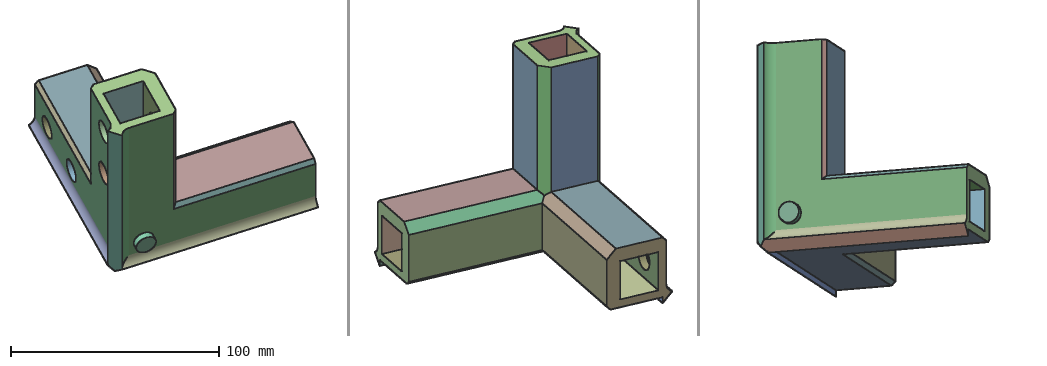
import cadquery as cq

arm_length_x = 102.7
arm_length_y = 107.6
arm_length_z = 102.7

outer_face = 3.2
inner_face = 35.5
inner_chamfer = 5.0
side_chamfer = 2.0

lip_chamfer = 5.3
lip_fillet_end = 10.2

bore_size = 20.7
bore_center = 17.9
bore_depth = 67.2
screw_end_distance = 15.1
screw_spacing = 29.9
access_diameter = 11.5
pilot_diameter = 4.1
pilot_depth = 3.8

boss_diameter = 10.3

plane_x = cq.Plane(origin=(0, 0, 0), xDir=(0, 1, 0), normal=(1, 0, 0))
plane_y = cq.Plane(origin=(0, 0, 0), xDir=(-1, 0, 0), normal=(0, 1, 0))
plane_z = cq.Plane(origin=(0, 0, 0), xDir=(-1, 0, 0), normal=(0, 0, -1))

arms = [
    (plane_x, -1, arm_length_x),
    (plane_y, 1, arm_length_y),
    (plane_z, -1, arm_length_z),
]


def arm_body(plane, direction, length):
    """Chamfered square prism, starting at the outer face of the corner."""
    low, high = outer_face, inner_face
    points = [
        (low, low),
        (high - side_chamfer, low),
        (high, low + side_chamfer),
        (high, high - inner_chamfer),
        (high - inner_chamfer, high),
        (low + side_chamfer, high),
        (low, high - side_chamfer),
    ]
    return (
        cq.Workplane(plane)
        .workplane(offset=direction * outer_face)
        .polyline(points)
        .close()
        .extrude(direction * (length - outer_face))
    )


def edge_lip(plane, direction, length):
    """Chamfered lip along an outer edge, with concave fillets onto both arm faces."""
    fillet_run = lip_fillet_end - lip_chamfer
    fillet_radius = (fillet_run**2 + outer_face**2) / (2 * outer_face)
    return (
        cq.Workplane(plane)
        .workplane(offset=direction * outer_face)
        .moveTo(lip_fillet_end, outer_face)
        .radiusArc((lip_chamfer, 0), -fillet_radius)
        .lineTo(0, lip_chamfer)
        .radiusArc((outer_face, lip_fillet_end), -fillet_radius)
        .close()
        .extrude(direction * (length - outer_face))
    )


def corner_wedge(plane, direction, length):
    """Waste outside the chamfer of an outer edge."""
    return (
        cq.Workplane(plane)
        .polyline([(0, 0), (lip_chamfer, 0), (0, lip_chamfer)])
        .close()
        .extrude(direction * length)
    )


def arm_bore(plane, direction, length):
    """Blind square bore from the open end of an arm."""
    return (
        cq.Workplane(plane)
        .workplane(offset=direction * length)
        .center(bore_center, bore_center)
        .rect(bore_size, bore_size)
        .extrude(-direction * bore_depth)
    )


def holes_along_y(points, diameter, start, end):
    """Round holes parallel to Y between two Y positions, at (inward X, Z) points."""
    return (
        cq.Workplane(plane_y)
        .workplane(offset=start)
        .pushPoints(points)
        .circle(diameter / 2)
        .extrude(end - start)
    )


result = arm_body(*arms[0])
for arm in arms[1:]:
    result = result.union(arm_body(*arm))
for arm in arms:
    result = result.union(edge_lip(*arm))

corner_cube = (
    cq.Workplane("XY")
    .box(outer_face, outer_face, outer_face, centered=False)
    .translate((-outer_face, 0, 0))
)
result = result.union(corner_cube)

boss = (
    cq.Workplane(plane_x)
    .center(bore_center, bore_center)
    .circle(boss_diameter / 2)
    .extrude(-outer_face)
)
result = result.union(boss)

underside = (
    cq.Workplane("XY")
    .box(arm_length_x - lip_chamfer, arm_length_y - lip_chamfer, outer_face, centered=False)
    .translate((-arm_length_x, lip_chamfer, 0))
)
result = result.cut(underside)

for arm in arms:
    result = result.cut(corner_wedge(*arm))
    result = result.cut(arm_bore(*arm))

screw_offsets = [screw_end_distance, screw_end_distance + screw_spacing]
x_arm_screws = [(arm_length_x - offset, bore_center) for offset in screw_offsets]
z_arm_screws = [(bore_center, arm_length_z - offset) for offset in screw_offsets]
result = result.cut(holes_along_y(x_arm_screws + z_arm_screws, access_diameter, 0, bore_center))
pilot_end = bore_center + bore_size / 2 + pilot_depth
result = result.cut(holes_along_y(z_arm_screws, pilot_diameter, bore_center, pilot_end))